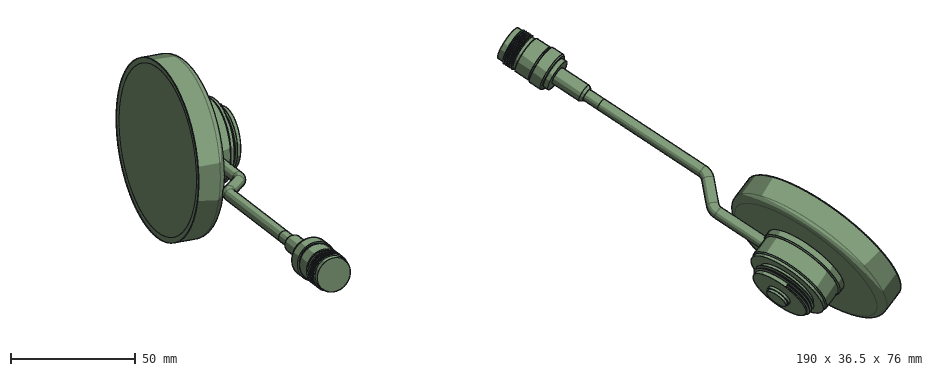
import cadquery as cq
import math


base_radius = 38.0
base_back = 12.7
base_round = 2.8
pad_thickness = 0.3
magnet_radius = 35.7
magnet_thickness = 5.7
collar_radius = 18.8
collar_back = 16.0
collar_bevel = 0.5

mount_radius = 18.2
mount_lip_radius = 17.9
mount_lip_start = 24.5
mount_lip_bevel = 0.5
mount_back = 25.8
mount_thread_root = 13.1
mount_thread_crest = 14.0
mount_thread_back = 30.8
mount_end = 31.1
mount_thread_pitch = 1.4
contact_radius = 5.3
contact_tip_radius = 4.7
contact_step = 32.3
contact_back = 33.5

cable_diameter = 5.1
cable_radius = cable_diameter / 2
cable_start_x = 15.2
cable_start_y = 16.5
cable_bend_x = 40.6
cable_bend_radius = 5.3
cable_bend_angle = math.radians(45)
cable_end_x = 106.2

nut_diameter = 16.9
nut_radius = nut_diameter / 2
nut_overhang = 3.0
connector_axis_y = nut_radius - nut_overhang
ferrule_x = 113.2
ferrule_radius = 3.8
ferrule_bevel = 0.8
ferrule_bevel_length = 1.3
connector_x = 127.6
connector_end_x = 152.0
flange_radius = 6.8
nut_x = 129.7
nut_end_x = 135.6
nut_bevel = 0.5
relief_radius = 7.8
barrel_x = 136.4
barrel_radius = 8.0
barrel_end_x = 143.0
connector_thread_root = 7.5
connector_thread_x = 144.0
connector_thread_end_x = 150.0
connector_thread_pitch = 1.06

thread_overlap = 0.1
thread_flank = 0.4


def turned_on_y(points):
    """Solid of revolution about Y from (radius, Y) points; the outline closes along the axis."""
    return cq.Workplane("XY").polyline(points).close().revolve(360, (0, 0, 0), (0, 1, 0))


def turned_on_x(points):
    """Solid of revolution about the connector axis from (X, radius) points."""
    return (
        cq.Workplane("XY", origin=(0, connector_axis_y, 0))
        .polyline(points)
        .close()
        .revolve(360, (0, 0, 0), (1, 0, 0))
    )


def thread_ridge(root, crest, pitch, length):
    """Helical V ridge around Z, lying between Z = 0 and Z = length."""
    foot_radius = root - thread_overlap
    half_foot = thread_flank * pitch
    path = cq.Workplane(cq.Wire.makeHelix(pitch, length - 2 * half_foot, foot_radius))
    ridge = (
        cq.Workplane("XZ")
        .polyline([(foot_radius, -half_foot), (crest, 0), (foot_radius, half_foot)])
        .close()
        .sweep(path, isFrenet=True)
    )
    return ridge.translate((0, 0, half_foot))


def make_pad():
    return turned_on_y([(0, 0), (base_radius, 0), (base_radius, pad_thickness), (0, pad_thickness)])


def make_magnet():
    back = pad_thickness + magnet_thickness
    return turned_on_y(
        [(0, pad_thickness), (magnet_radius, pad_thickness), (magnet_radius, back), (0, back)]
    )


def make_base(magnet, cable):
    disc = turned_on_y(
        [(0, pad_thickness), (base_radius, pad_thickness), (base_radius, base_back), (0, base_back)]
    )
    disc = disc.faces(">Y").edges().fillet(base_round)
    collar = turned_on_y(
        [
            (0, base_back),
            (collar_radius, base_back),
            (collar_radius, collar_back - collar_bevel),
            (mount_radius, collar_back),
            (0, collar_back),
        ]
    )
    return disc.union(collar).cut(magnet).cut(cable)


def make_mount(cable):
    body = turned_on_y(
        [
            (0, collar_back),
            (mount_radius, collar_back),
            (mount_radius, mount_lip_start - mount_lip_bevel),
            (mount_lip_radius, mount_lip_start),
            (mount_lip_radius, mount_back),
            (mount_thread_root, mount_back),
            (mount_thread_root, mount_end),
            (0, mount_end),
        ]
    )
    ridge = thread_ridge(
        mount_thread_root, mount_thread_crest, mount_thread_pitch, mount_thread_back - mount_back
    )
    ridge = ridge.rotate((0, 0, 0), (1, 0, 0), -90).translate((0, mount_back, 0))
    return body.union(ridge).cut(cable)


def make_contact():
    return turned_on_y(
        [
            (0, mount_end),
            (contact_radius, mount_end),
            (contact_radius, contact_step),
            (contact_tip_radius, contact_step),
            (contact_tip_radius, contact_back),
            (0, contact_back),
        ]
    )


def make_cable():
    """Cable with two opposite bends that bring it down to the connector axis."""
    bend_run = cable_bend_radius * math.sin(cable_bend_angle)
    bend_drop = cable_bend_radius * (1 - math.cos(cable_bend_angle))
    half_run = cable_bend_radius * math.sin(cable_bend_angle / 2)
    half_drop = cable_bend_radius * (1 - math.cos(cable_bend_angle / 2))
    slope_drop = cable_start_y - connector_axis_y - 2 * bend_drop
    slope_end_x = cable_bend_x + bend_run + slope_drop / math.tan(cable_bend_angle)
    slope_end_y = connector_axis_y + bend_drop
    second_bend_end_x = slope_end_x + bend_run
    path = (
        cq.Workplane("XY")
        .moveTo(cable_start_x, cable_start_y)
        .lineTo(cable_bend_x, cable_start_y)
        .threePointArc(
            (cable_bend_x + half_run, cable_start_y - half_drop),
            (cable_bend_x + bend_run, cable_start_y - bend_drop),
        )
        .lineTo(slope_end_x, slope_end_y)
        .threePointArc(
            (second_bend_end_x - half_run, connector_axis_y + half_drop),
            (second_bend_end_x, connector_axis_y),
        )
        .lineTo(cable_end_x, connector_axis_y)
    )
    start = cq.Workplane("YZ", origin=(cable_start_x, cable_start_y, 0))
    return start.circle(cable_radius).sweep(path)


def make_cable_end():
    """Short length between the cable and the ferrule."""
    return turned_on_x(
        [(cable_end_x, 0), (cable_end_x, cable_radius), (ferrule_x, cable_radius), (ferrule_x, 0)]
    )


def make_ferrule():
    return turned_on_x(
        [
            (ferrule_x, 0),
            (ferrule_x, ferrule_radius - ferrule_bevel),
            (ferrule_x + ferrule_bevel_length, ferrule_radius),
            (connector_x, ferrule_radius),
            (connector_x, 0),
        ]
    )


def make_connector():
    body = turned_on_x(
        [
            (connector_x, 0),
            (connector_x, flange_radius),
            (nut_x, flange_radius),
            (nut_x, nut_radius - nut_bevel),
            (nut_x + nut_bevel, nut_radius),
            (nut_end_x, nut_radius),
            (nut_end_x, relief_radius),
            (barrel_x, relief_radius),
            (barrel_x, barrel_radius),
            (barrel_end_x, barrel_radius),
            (barrel_end_x, connector_thread_root),
            (connector_end_x, connector_thread_root),
            (connector_end_x, 0),
        ]
    )
    ridge = thread_ridge(
        connector_thread_root,
        barrel_radius,
        connector_thread_pitch,
        connector_thread_end_x - connector_thread_x,
    )
    ridge = ridge.rotate((0, 0, 0), (0, 1, 0), 90).translate((connector_thread_x, connector_axis_y, 0))
    return body.union(ridge)


cable = make_cable()
magnet = make_magnet()
pad = make_pad()
base = make_base(magnet, cable)
mount = make_mount(cable)
contact = make_contact()
cable_end = make_cable_end()
ferrule = make_ferrule()
connector = make_connector()

bodies = [pad, magnet, base, mount, contact, cable, cable_end, ferrule, connector]
result = cq.Compound.makeCompound([body.solids().val() for body in bodies])